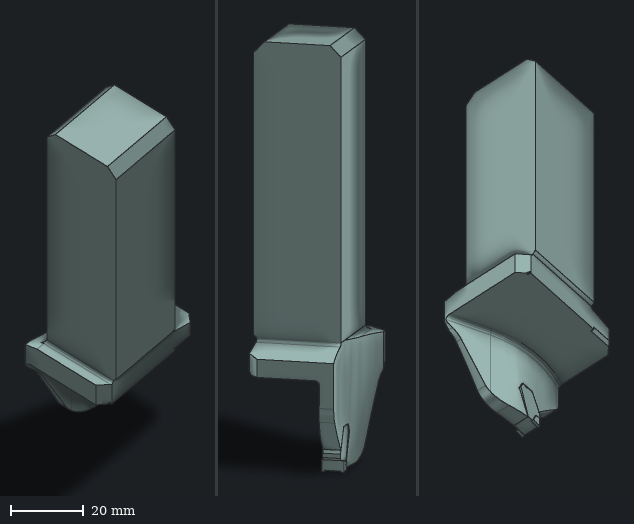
import cadquery as cq
import math

TOTAL_HEIGHT = 119.6
SHANK_SIDE = 25.0
TOP_CHAMFER = 3.1

HEAD_FRONT = -3.8
HEAD_BACK = 35.6
HEAD_LEFT = -4.5
HEAD_TOP = 35.4
HEAD_BOTTOM = 27.6
HEAD_CORNER_CHAMFER = 3.1
RIGHT_STEP = 1.0
HEAD_RIGHT = SHANK_SIDE - RIGHT_STEP
NECK_RADIUS = 1.0
BACK_EDGE_HEIGHT = 32.8
LEFT_SLOPE_START = -0.2
LEFT_BLEND_RADIUS = 1.7
LEFT_EDGE_HEIGHT = 34.3

ARC_CENTER_Y = 23.9
FLAT_WIDTH = 1.9
BLADE_THICKNESS = 5.1
CONVEX_RADIUS = 37.1
FLANK_START_Y = 8.4
BLADE_FILLET = 1.2
BLADE_BOTTOM = 0.4

INSERT_FACE_X = 0.0
TIP_FLARE = 0.4
TIP_PAD = 0.8
LIP_WIDTH = 0.8
INSERT_FRONT_Y = 25.0
INSERT_BULGE_Y = 25.5

SELECT_MARGIN = 0.1

SPARE = 35.9

flat_end_y = HEAD_FRONT + FLAT_WIDTH
half_chord = ARC_CENTER_Y - flat_end_y
concave_radius = (half_chord**2 + HEAD_LEFT**2) / (2 * -HEAD_LEFT)
back_reach = HEAD_BACK - ARC_CENTER_Y
concave_back_x = math.sqrt(concave_radius**2 - back_reach**2) - concave_radius


left_slope = math.atan2(HEAD_TOP - LEFT_EDGE_HEIGHT, LEFT_SLOPE_START - HEAD_LEFT)
slope_meets_shank = HEAD_TOP - LEFT_SLOPE_START * math.tan(left_slope)
blend_tangent = LEFT_BLEND_RADIUS * math.tan((math.pi / 2 - left_slope) / 2)
blend_top = slope_meets_shank + blend_tangent
blend_run = blend_tangent * math.cos(left_slope)
blend_bottom = slope_meets_shank - blend_tangent * math.sin(left_slope)

flank_angle = math.asin((ARC_CENTER_Y - FLANK_START_Y) / CONVEX_RADIUS)
flank_start_x = BLADE_THICKNESS - CONVEX_RADIUS * (1 - math.cos(flank_angle))
flank_end_x = flank_start_x - SPARE * math.sin(flank_angle)
flank_end_y = FLANK_START_Y - SPARE * math.cos(flank_angle)


def make_shank():
    profile = (
        cq.Workplane("XZ")
        .moveTo(0, HEAD_TOP)
        .lineTo(HEAD_RIGHT, HEAD_TOP)
        .lineTo(HEAD_RIGHT, HEAD_TOP + NECK_RADIUS)
        .lineTo(SHANK_SIDE, HEAD_TOP + NECK_RADIUS + RIGHT_STEP)
        .lineTo(SHANK_SIDE, TOTAL_HEIGHT - TOP_CHAMFER)
        .lineTo(SHANK_SIDE - TOP_CHAMFER, TOTAL_HEIGHT)
        .lineTo(TOP_CHAMFER, TOTAL_HEIGHT)
        .lineTo(0, TOTAL_HEIGHT - TOP_CHAMFER)
        .close()
    )
    return profile.extrude(-SHANK_SIDE)


def make_neck():
    """Concave blend from the shank to the head on the front, back and left."""
    neck_top = HEAD_TOP + NECK_RADIUS
    front_back = (
        cq.Workplane("YZ")
        .moveTo(0, neck_top)
        .radiusArc((-NECK_RADIUS, HEAD_TOP), NECK_RADIUS)
        .lineTo(-NECK_RADIUS, HEAD_BOTTOM)
        .lineTo(SHANK_SIDE + NECK_RADIUS, HEAD_BOTTOM)
        .lineTo(SHANK_SIDE + NECK_RADIUS, HEAD_TOP)
        .radiusArc((SHANK_SIDE, neck_top), NECK_RADIUS)
        .close()
        .extrude(2 * SPARE, both=True)
    )
    left = (
        cq.Workplane("XZ")
        .moveTo(0, blend_top)
        .radiusArc((-blend_run, blend_bottom), LEFT_BLEND_RADIUS)
        .lineTo(-blend_run, HEAD_BOTTOM)
        .lineTo(HEAD_RIGHT, HEAD_BOTTOM)
        .lineTo(HEAD_RIGHT, neck_top)
        .lineTo(0, neck_top)
        .close()
        .extrude(2 * SPARE, both=True)
    )
    return front_back.intersect(left)


def make_head_and_blade():
    """Oversized head slab with the convex face of the blade blended into its underside."""
    slab = cq.Workplane("XY").box(
        4 * SPARE, 4 * SPARE, HEAD_TOP - HEAD_BOTTOM, centered=(True, True, False)
    ).translate((0, 0, HEAD_BOTTOM))
    blade = (
        cq.Workplane("XY")
        .moveTo(flank_end_x, flank_end_y)
        .lineTo(flank_start_x, FLANK_START_Y)
        .threePointArc((BLADE_THICKNESS, ARC_CENTER_Y), (flank_start_x, 2 * ARC_CENTER_Y - FLANK_START_Y))
        .lineTo(-SPARE, 2 * ARC_CENTER_Y - FLANK_START_Y)
        .lineTo(-SPARE, flank_end_y)
        .close()
        .extrude(HEAD_BOTTOM)
    )
    convex_edges = cq.selectors.BoxSelector(
        (flank_end_x, flank_end_y, HEAD_BOTTOM - SELECT_MARGIN),
        (BLADE_THICKNESS + SELECT_MARGIN, ARC_CENTER_Y + SELECT_MARGIN, HEAD_BOTTOM + SELECT_MARGIN),
    )
    return slab.union(blade).edges(convex_edges).fillet(BLADE_FILLET)


def side_outline():
    """Outline of the head and blade in the YZ plane, with sloped head top at the back."""
    return (
        cq.Workplane("YZ")
        .moveTo(HEAD_FRONT, HEAD_TOP)
        .lineTo(SHANK_SIDE + NECK_RADIUS, HEAD_TOP)
        .lineTo(HEAD_BACK, BACK_EDGE_HEIGHT)
        .lineTo(HEAD_BACK, 20.0)
        .threePointArc((35.0, 17.8), (33.5, 15.7))
        .lineTo(INSERT_FRONT_Y, 6.2)
        .lineTo(INSERT_FRONT_Y, BLADE_BOTTOM)
        .lineTo(13.9, BLADE_BOTTOM)
        .threePointArc((9.8, 1.5), (7.0, 4.7))
        .lineTo(0.4, 20.5)
        .threePointArc((-0.6, 22.2), (-2.0, 23.9))
        .lineTo(-3.2, 25.2)
        .threePointArc((-3.7, 26.0), (HEAD_FRONT, 27.0))
        .close()
        .extrude(2 * SPARE, both=True)
    )


def plan_outline():
    """Outline of the head in the XY plane: concave left side, chamfered right corners."""
    return (
        cq.Workplane("XY")
        .moveTo(HEAD_LEFT, HEAD_FRONT)
        .lineTo(HEAD_RIGHT - HEAD_CORNER_CHAMFER, HEAD_FRONT)
        .lineTo(HEAD_RIGHT, HEAD_FRONT + HEAD_CORNER_CHAMFER)
        .lineTo(HEAD_RIGHT, HEAD_BACK - HEAD_CORNER_CHAMFER)
        .lineTo(HEAD_RIGHT - HEAD_CORNER_CHAMFER, HEAD_BACK)
        .lineTo(concave_back_x, HEAD_BACK)
        .threePointArc((0, ARC_CENTER_Y), (HEAD_LEFT, flat_end_y))
        .close()
        .extrude(TOTAL_HEIGHT)
    )


def front_outline():
    """Outline in the XZ plane: sloped head top at the left, chamfer at the lower right."""
    return (
        cq.Workplane("XZ")
        .moveTo(HEAD_LEFT, 0)
        .lineTo(HEAD_RIGHT - RIGHT_STEP, 0)
        .lineTo(HEAD_RIGHT - RIGHT_STEP, HEAD_BOTTOM)
        .lineTo(HEAD_RIGHT, HEAD_BOTTOM + RIGHT_STEP)
        .lineTo(HEAD_RIGHT, HEAD_TOP)
        .lineTo(LEFT_SLOPE_START, HEAD_TOP)
        .lineTo(HEAD_LEFT, LEFT_EDGE_HEIGHT)
        .close()
        .extrude(2 * SPARE, both=True)
    )


def insert_prism(start_x, end_x):
    """Insert outline in the YZ plane, extruded between two X positions."""
    outline = [
        (22.1, 12.3),
        (18.2, 12.3),
        (17.3, 10.2),
        (20.5, BLADE_BOTTOM),
        (INSERT_FRONT_Y, BLADE_BOTTOM),
        (INSERT_FRONT_Y, 3.3),
        (INSERT_BULGE_Y, 4.1),
        (INSERT_BULGE_Y, 5.3),
        (INSERT_FRONT_Y, 6.3),
    ]
    return cq.Workplane("YZ").workplane(offset=start_x).polyline(outline).close().extrude(end_x - start_x)


def tip_prism(start_x, end_x):
    """Lower front corner of the insert, which carries the cutting edge."""
    outline = [
        (22.2, BLADE_BOTTOM),
        (23.3, 3.1),
        (INSERT_FRONT_Y, 3.3),
        (INSERT_FRONT_Y, 0),
    ]
    return cq.Workplane("YZ").workplane(offset=start_x).polyline(outline).close().extrude(end_x - start_x)


def make_insert():
    body = insert_prism(INSERT_FACE_X, BLADE_THICKNESS)
    pad = tip_prism(INSERT_FACE_X - TIP_PAD, INSERT_FACE_X)
    lip_end = BLADE_THICKNESS + TIP_FLARE
    lip = tip_prism(lip_end - LIP_WIDTH, lip_end)
    return body.union(pad).union(lip)


def make_holder():
    lower = make_head_and_blade()
    neck = make_neck().intersect(plan_outline())
    for envelope in (side_outline(), plan_outline(), front_outline()):
        lower = lower.intersect(envelope)
    pocket = insert_prism(-SPARE, SPARE)
    return lower.cut(pocket).union(neck).union(make_shank())


holder = make_holder()
insert = make_insert()
result = cq.Compound.makeCompound([holder.val(), insert.val()])